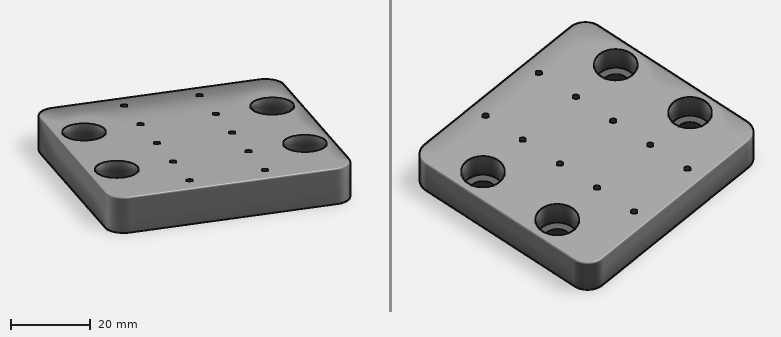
import cadquery as cq

length_y = 65.0
width_x = 60.0
thickness = 10.0
corner_radius = 5.0
edge_fillet = 0.5

mount_columns = 2
mount_rows = 2
mount_spacing_x = 25.0
mount_spacing_y = 50.0
mount_hole_diameter = 6.6
counterbore_diameter = 11.0
counterbore_depth = 6.8

pin_columns = 5
pin_rows = 2
pin_pitch_x = mount_spacing_x / 2
pin_pitch_y = 20.0
pin_hole_diameter = 1.6


def make_plate():
    """Rounded plate centred on X and Y, resting on Z = 0, with its rims rounded."""
    plate = cq.Workplane("XY").box(width_x, length_y, thickness, centered=(True, True, False))
    plate = plate.edges("|Z").fillet(corner_radius)
    return plate.edges("<Z or >Z").fillet(edge_fillet)


def cut_mounting_holes(plate):
    """Four through holes, counterbored from the top face."""
    return (
        plate.faces(">Z")
        .workplane(origin=(0, 0, thickness))
        .rarray(mount_spacing_x, mount_spacing_y, mount_columns, mount_rows)
        .cboreHole(mount_hole_diameter, counterbore_diameter, counterbore_depth)
    )


def cut_pin_holes(plate):
    """Two rows of small through holes across the middle of the plate."""
    return (
        plate.faces(">Z")
        .workplane(origin=(0, 0, thickness))
        .rarray(pin_pitch_x, pin_pitch_y, pin_columns, pin_rows)
        .hole(pin_hole_diameter)
    )


result = cut_pin_holes(cut_mounting_holes(make_plate()))